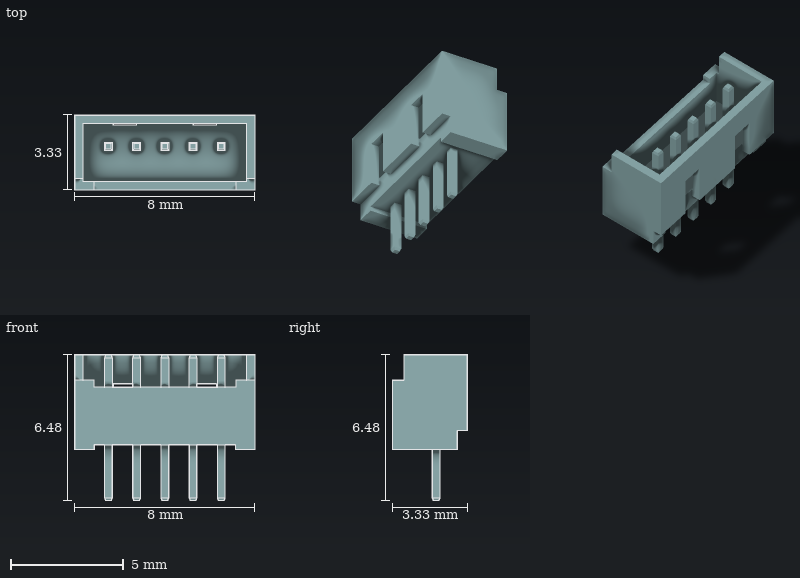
import cadquery as cq

LENGTH = 8.0
WIDTH = 3.33
HEIGHT = 4.22
WALL = 0.38
CAVITY_DEPTH = 2.96

SHOULDER_DROP = 1.14
SHOULDER_WIDTH = 0.52
FRONT_NOTCH_LENGTH = 6.3
FRONT_NOTCH_DROP = 0.3

BASE_CHANNEL_LENGTH = 6.25
BASE_CHANNEL_HEIGHT = 0.22
REAR_STEP_HEIGHT = 0.85
REAR_STEP_DEPTH = 0.44

WINDOW_LENGTH = 1.02
WINDOW_OFFSET = 1.77
WINDOW_TOP_DROP = 1.3

PIN_COUNT = 5
PIN_PITCH = 1.25
PIN_SIZE = 0.35
PIN_Y = 0.28
PIN_TOP_GAP = 0.03
PIN_PROTRUSION = 2.26
TIP_LENGTH = 0.13
TIP_INSET = 0.05

FRONT_Y = -WIDTH / 2
REAR_Y = WIDTH / 2
SHOULDER_Z = HEIGHT - SHOULDER_DROP
FRONT_RIM_Z = SHOULDER_Z - FRONT_NOTCH_DROP
WINDOW_TOP_Z = HEIGHT - WINDOW_TOP_DROP
PIN_TOP_Z = HEIGHT - PIN_TOP_GAP


def block(length, y_range, z_range, x_center=0):
    """Box centred on x_center, spanning the given Y and Z ranges."""
    y_low, y_high = y_range
    z_low, z_high = z_range
    return (
        cq.Workplane("XY")
        .box(length, y_high - y_low, z_high - z_low, centered=(True, False, False))
        .translate((x_center, y_low, z_low))
    )


def make_shroud():
    """Open-topped box with a lowered, notched front rim."""
    full_width = (FRONT_Y, REAR_Y)
    shroud = block(LENGTH, full_width, (0, HEIGHT))
    cavity = block(
        LENGTH - 2 * WALL,
        (FRONT_Y + WALL, REAR_Y - WALL),
        (HEIGHT - CAVITY_DEPTH, HEIGHT),
    )
    shoulder = block(LENGTH, (FRONT_Y, FRONT_Y + SHOULDER_WIDTH), (SHOULDER_Z, HEIGHT))
    rim_notch = block(FRONT_NOTCH_LENGTH, (FRONT_Y, FRONT_Y + WALL), (FRONT_RIM_Z, SHOULDER_Z))
    return shroud.cut(cavity).cut(shoulder).cut(rim_notch)


def cut_underside(body):
    """Cut the crosswise base channel and the step along the rear edge."""
    channel = block(BASE_CHANNEL_LENGTH, (FRONT_Y, REAR_Y), (0, BASE_CHANNEL_HEIGHT))
    rear_step = block(LENGTH, (REAR_Y - REAR_STEP_DEPTH, REAR_Y), (0, REAR_STEP_HEIGHT))
    return body.cut(channel).cut(rear_step)


def cut_windows(body):
    """Cut both rear-wall windows, from their top edge down to the rear step."""
    for x_center in (-WINDOW_OFFSET, WINDOW_OFFSET):
        window = block(
            WINDOW_LENGTH,
            (REAR_Y - REAR_STEP_DEPTH, REAR_Y),
            (REAR_STEP_HEIGHT, WINDOW_TOP_Z),
            x_center,
        )
        body = body.cut(window)
    return body


def make_tip(base_z, direction):
    """Tapered pin end; direction is +1 for upward and -1 for downward."""
    end_size = PIN_SIZE - 2 * TIP_INSET
    return (
        cq.Workplane("XY", origin=(0, PIN_Y, base_z))
        .rect(PIN_SIZE, PIN_SIZE)
        .workplane(offset=direction * TIP_LENGTH)
        .rect(end_size, end_size)
        .loft(ruled=True)
    )


def make_pin():
    """Square pin on X = 0 with a tapered tip at each end."""
    shaft_bottom = TIP_LENGTH - PIN_PROTRUSION
    shaft_top = PIN_TOP_Z - TIP_LENGTH
    half_size = PIN_SIZE / 2
    shaft = block(PIN_SIZE, (PIN_Y - half_size, PIN_Y + half_size), (shaft_bottom, shaft_top))
    return shaft.union(make_tip(shaft_top, 1)).union(make_tip(shaft_bottom, -1))


def add_pins(body):
    """Add the pin row, centred along X."""
    pin = make_pin()
    for index in range(PIN_COUNT):
        x_center = (index - (PIN_COUNT - 1) / 2) * PIN_PITCH
        body = body.union(pin.translate((x_center, 0, 0)))
    return body


housing = cut_windows(cut_underside(make_shroud()))
result = add_pins(housing)